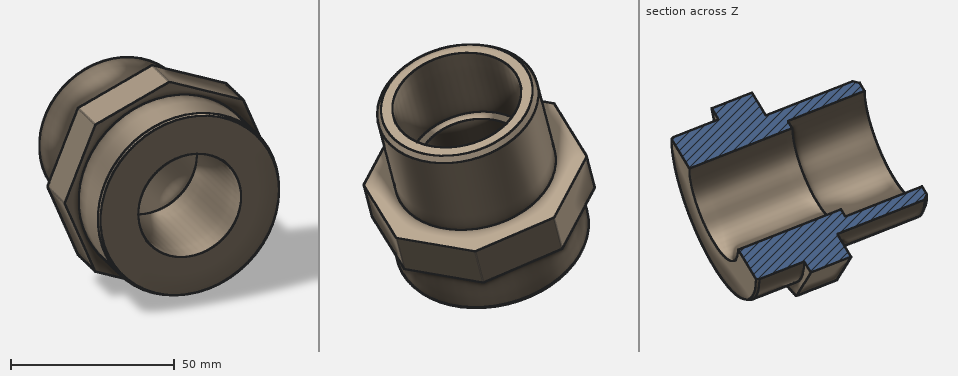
import cadquery as cq
import math

total_length = 61.0
octagon_across_corners = 69.2

collar_start = 31.15
collar_end = 44.9
octagon_sides = 8
corner_radius = 0.5

spigot_diameter = 50.1
spigot_chamfer_length = 1.65
spigot_chamfer_depth = 1.5

socket_diameter = 60.0
socket_chamfer_length = 1.0
socket_chamfer_depth = 0.5

wide_bore_diameter = 40.0
narrow_bore_diameter = 34.0
wide_bore_depth = 26.0


def plane_at(x):
    """YZ plane at the given distance along the axis, facing +X."""
    return cq.Workplane("YZ", origin=(x, 0, 0))


def round_body():
    """Revolve the spigot and the larger end, with their end chamfers."""
    spigot_radius = spigot_diameter / 2
    socket_radius = socket_diameter / 2
    profile = [
        (0, 0),
        (0, spigot_radius - spigot_chamfer_depth),
        (spigot_chamfer_length, spigot_radius),
        (collar_start, spigot_radius),
        (collar_start, socket_radius),
        (total_length - socket_chamfer_length, socket_radius),
        (total_length, socket_radius - socket_chamfer_depth),
        (total_length, 0),
    ]
    return cq.Workplane("XY").polyline(profile).close().revolve(360, (0, 0, 0), (1, 0, 0))


def collar():
    """Octagonal prism with slightly rounded corners on the Y and Z axes."""
    half_corner_turn = math.pi / octagon_sides
    corner_loss = corner_radius * (1 / math.cos(half_corner_turn) - 1)
    sharp_across_corners = octagon_across_corners + 2 * corner_loss
    return (
        plane_at(collar_start)
        .polygon(octagon_sides, sharp_across_corners)
        .extrude(collar_end - collar_start)
        .edges("|X")
        .fillet(corner_radius)
    )


def bore():
    """Wide bore from the spigot mouth, then a narrow bore to the far end."""
    wide = plane_at(0).circle(wide_bore_diameter / 2).extrude(wide_bore_depth)
    narrow = plane_at(0).circle(narrow_bore_diameter / 2).extrude(total_length)
    return wide.union(narrow)


result = round_body().union(collar()).cut(bore())